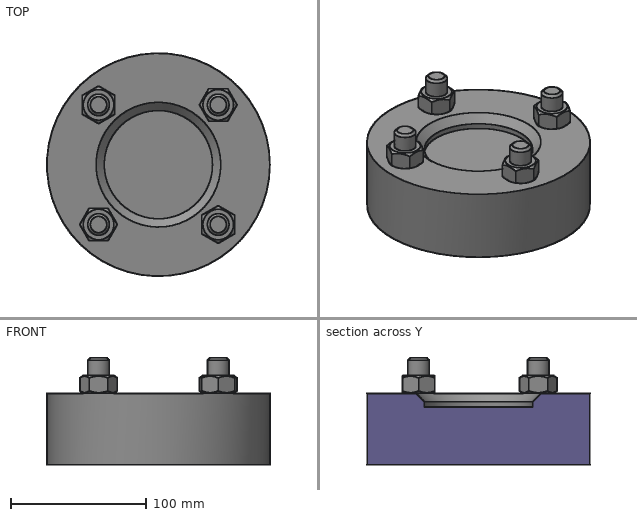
import cadquery as cq
import math

body_diameter = 165.0
body_height = 52.8

recess_diameter = 80.0
recess_mouth_diameter = 92.2
recess_depth = 10.0
mouth_chamfer = (recess_mouth_diameter - recess_diameter) / 2

stud_spacing = 88.5
stud_diameter = 16.0
stud_height = 26.4
stud_chamfer = 2.0
nut_height = 13.2
nut_across_flats = 24.1
nut_across_corners = nut_across_flats / math.cos(math.radians(30))
nut_face_diameter = 22.6
nut_chamfer_angle = 35.0


def make_body():
    """Disc with a blind recess in its top face."""
    disc = cq.Workplane("XY").circle(body_diameter / 2).extrude(body_height)
    recess_floor = body_height - recess_depth
    recess = (
        cq.Workplane("XZ")
        .moveTo(0, recess_floor)
        .lineTo(recess_diameter / 2, recess_floor)
        .lineTo(recess_diameter / 2, body_height - mouth_chamfer)
        .lineTo(recess_mouth_diameter / 2, body_height)
        .lineTo(0, body_height)
        .close()
        .revolve(360, (0, 0), (0, 1))
    )
    return disc.cut(recess)


def make_nut():
    """Hexagon nut with corners on X and conical chamfers at both ends."""
    face_radius = nut_face_diameter / 2
    corner_radius = nut_across_corners / 2
    cone_height = (corner_radius - face_radius) * math.tan(math.radians(nut_chamfer_angle))
    hexagon = cq.Workplane("XY").polygon(6, nut_across_corners).extrude(nut_height)
    envelope = (
        cq.Workplane("XZ")
        .moveTo(0, 0)
        .lineTo(face_radius, 0)
        .lineTo(corner_radius, cone_height)
        .lineTo(corner_radius, nut_height - cone_height)
        .lineTo(face_radius, nut_height)
        .lineTo(0, nut_height)
        .close()
        .revolve(360, (0, 0), (0, 1))
    )
    return hexagon.intersect(envelope)


def make_stud():
    """Protruding stud end with a chamfered tip."""
    stud = cq.Workplane("XY").circle(stud_diameter / 2).extrude(stud_height)
    return stud.faces(">Z").chamfer(stud_chamfer)


result = make_body()
fastener = make_nut().union(make_stud())
for x_side in (-1, 1):
    for y_side in (-1, 1):
        turn = 0 if x_side == y_side else 90
        position = (x_side * stud_spacing / 2, y_side * stud_spacing / 2, body_height)
        result = result.union(fastener.rotate((0, 0, 0), (0, 0, 1), turn).translate(position))